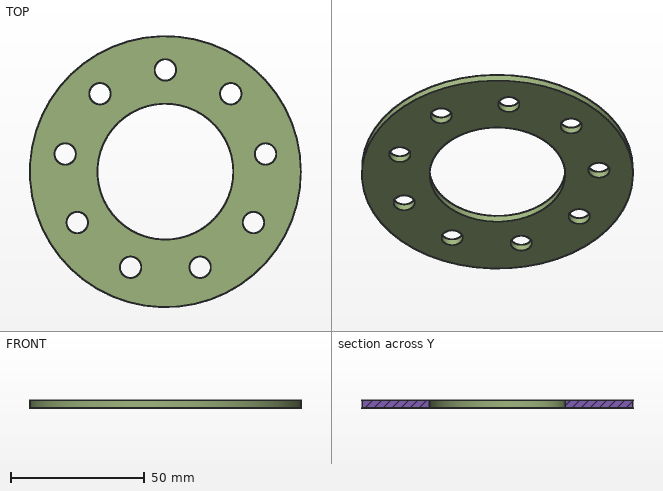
import cadquery as cq

outer_diameter = 101.6
bore_diameter = outer_diameter / 2
thickness = 3.0

hole_count = 9
hole_diameter = 7.9
bolt_circle_radius = (outer_diameter + bore_diameter) / 4
first_hole_angle = 90.0

ring = (
    cq.Workplane("XY")
    .circle(outer_diameter / 2)
    .circle(bore_diameter / 2)
    .extrude(thickness)
)

bolt_holes = (
    cq.Workplane("XY")
    .polarArray(bolt_circle_radius, first_hole_angle, 360, hole_count)
    .circle(hole_diameter / 2)
    .extrude(thickness)
)

result = ring.cut(bolt_holes)